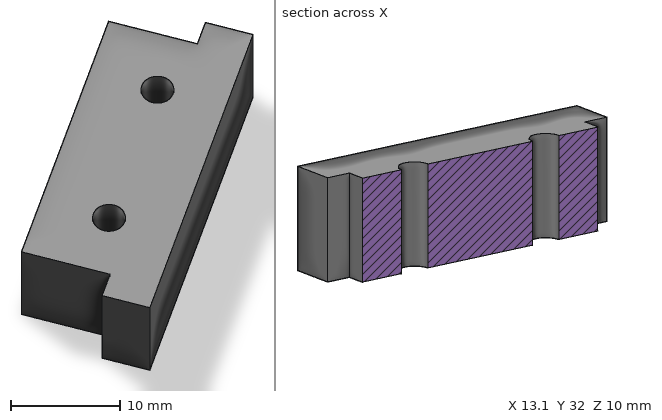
import cadquery as cq

width = 13.1
length = 32.0
height = 10.0

flange_thickness = 4.58
flange_overhang = 2.5

hole_diameter = 3.0
hole_spacing = 15.0

body_width = width - flange_thickness
body_length = length - 2 * flange_overhang


def block(x_min, x_size, y_size):
    """Full-height block starting at x_min and centred on Y."""
    return cq.Workplane("XY").box(
        x_size, y_size, height, centered=(False, True, False)
    ).translate((x_min, 0, 0))


body = block(-width / 2, body_width, body_length)
flange = block(width / 2 - flange_thickness, flange_thickness, length)

holes = (
    cq.Workplane("XY")
    .pushPoints([(0, -hole_spacing / 2), (0, hole_spacing / 2)])
    .circle(hole_diameter / 2)
    .extrude(height)
)

result = body.union(flange).cut(holes)